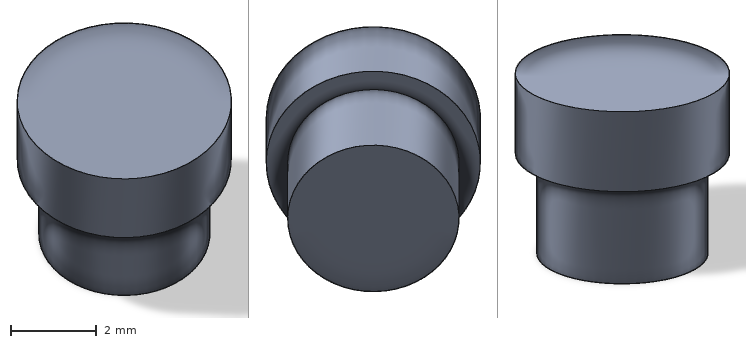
import cadquery as cq

head_diameter = 5.0
head_height = 2.0
shank_diameter = 4.0
shank_height = 2.5

shank = cq.Workplane("XY").circle(shank_diameter / 2).extrude(shank_height)

head = (
    cq.Workplane("XY")
    .workplane(offset=shank_height)
    .circle(head_diameter / 2)
    .extrude(head_height)
)

result = shank.union(head)